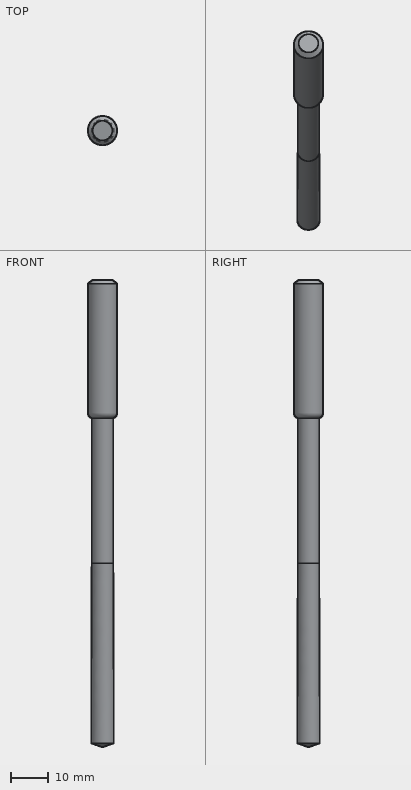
import cadquery as cq
import math

total_length = 126.0
bottom_z = -total_length / 2
top_z = total_length / 2

grip_diameter = 8.0
grip_length = 37.3
top_face_diameter = 5.3
top_chamfer_height = 1.0
shoulder_radius = 1.5
neck_diameter = 5.9

cutter_length = 49.6
cutter_diameter = 6.2
point_angle = 140.0

grip_radius = grip_diameter / 2
neck_radius = neck_diameter / 2
cutter_radius = cutter_diameter / 2
joint_z = bottom_z + cutter_length
shoulder_bottom_z = top_z - grip_length
point_height = cutter_radius / math.tan(math.radians(point_angle / 2))


def revolve_profile(outline):
    """Revolve a closed (radius, z) outline around the Z axis."""
    return outline.close().revolve(360, (0, 0), (0, 1))


def make_shank():
    """Grip, rounded shoulder tangent to it and neck, ending in a flat face at the joint."""
    arc_center_radius = grip_radius - shoulder_radius
    arc_end_angle = math.acos((neck_radius - arc_center_radius) / shoulder_radius)
    shoulder_top_z = shoulder_bottom_z + shoulder_radius * math.sin(arc_end_angle)
    arc_middle = (
        arc_center_radius + shoulder_radius * math.cos(arc_end_angle / 2),
        shoulder_top_z - shoulder_radius * math.sin(arc_end_angle / 2),
    )
    outline = (
        cq.Workplane("XZ")
        .moveTo(0, joint_z)
        .lineTo(neck_radius, joint_z)
        .lineTo(neck_radius, shoulder_bottom_z)
        .threePointArc(arc_middle, (grip_radius, shoulder_top_z))
        .lineTo(grip_radius, top_z - top_chamfer_height)
        .lineTo(top_face_diameter / 2, top_z)
        .lineTo(0, top_z)
    )
    return revolve_profile(outline)


def make_cutter():
    """Rod that widens from the neck diameter down to the conical point."""
    outline = (
        cq.Workplane("XZ")
        .moveTo(0, bottom_z)
        .lineTo(cutter_radius, bottom_z + point_height)
        .lineTo(neck_radius, joint_z)
        .lineTo(0, joint_z)
    )
    return revolve_profile(outline)


shank = make_shank()
cutter = make_cutter()

result = cq.Compound.makeCompound([shank.val(), cutter.val()])